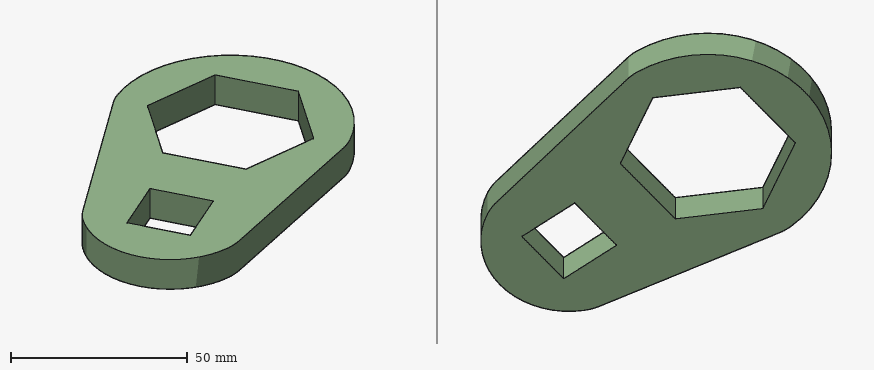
import math

import cadquery as cq

THICKNESS = 10.0
CENTRE_DISTANCE = 50.0

HEAD_RADIUS = 35.0
TAIL_RADIUS = 25.0
TAIL_CORNER_DROP = 9.5
CORNER_BLEND_RADIUS = 15.0

HEX_ACROSS_CORNERS = 50.0
SQUARE_DRIVE = 19.05

TAIL_Y = -CENTRE_DISTANCE


def make_plate():
    """Pear-shaped plate: two end arcs joined by straight flanks with blended corners."""
    tail_corner_x = math.sqrt(TAIL_RADIUS**2 - TAIL_CORNER_DROP**2)
    tail_corner_y = TAIL_Y - TAIL_CORNER_DROP
    plate = (
        cq.Workplane("XY")
        .moveTo(-HEAD_RADIUS, 0)
        .threePointArc((0, HEAD_RADIUS), (HEAD_RADIUS, 0))
        .lineTo(tail_corner_x, tail_corner_y)
        .threePointArc((0, TAIL_Y - TAIL_RADIUS), (-tail_corner_x, tail_corner_y))
        .close()
        .extrude(THICKNESS)
    )
    return plate.edges("|Z").fillet(CORNER_BLEND_RADIUS)


def cut_hexagon(plate):
    """Through hexagon at the head centre, with two corners on the X axis."""
    return plate.cut(cq.Workplane("XY").polygon(6, HEX_ACROSS_CORNERS).extrude(THICKNESS))


def cut_square_drive(plate):
    """Through square at the tail centre."""
    square = cq.Workplane("XY").center(0, TAIL_Y).rect(SQUARE_DRIVE, SQUARE_DRIVE)
    return plate.cut(square.extrude(THICKNESS))


result = cut_square_drive(cut_hexagon(make_plate()))